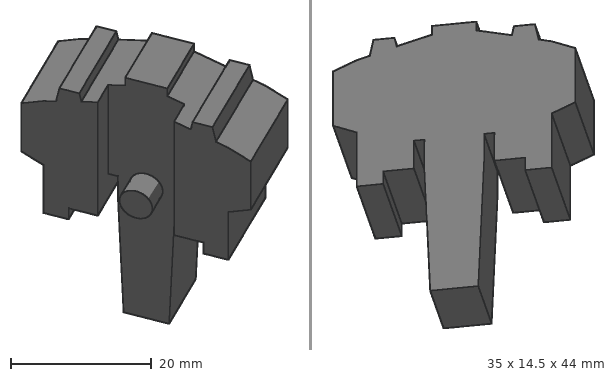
import cadquery as cq

height = 44.0
half_width = 35.0 / 2
depth = 14.5
web_depth = 10.45

tab_half_width = 3.2
crown_z = -1.45
tooth_inner_root = (8.3, -2.8)
tooth_top_inner_x = 8.62
tooth_top_outer_x = 11.65
tooth_top_z = -1.35
tooth_outer_root = (12.2, -3.95)
shoulder_break = (14.1, -4.5)
shoulder_edge_z = -6.0

side_bottom_z = -15.0
leg_outer_x = 14.1
leg_top_z = -16.5
foot_inner_x = 10.25
foot_bottom_z = -25.48
leg_bottom_z = -23.4
channel_half_width = 5.8

web_bottom_z = -18.8
stem_top_half_width = 4.3
stem_bottom_half_width = 3.48
taper_start_z = leg_bottom_z
pin_radius = 2.5
pin_z = -19.5


def extrude_forward(outline, length):
    """Extrude an (X, Z) outline from the back face toward -Y."""
    return cq.Workplane("XZ").polyline(outline).close().extrude(length)


def mirrored_outline(right_half):
    """Complete a right-hand outline with its mirror image about X = 0."""
    return right_half + [(-x, z) for x, z in reversed(right_half)]


head_outline = mirrored_outline([
    (tab_half_width, 0),
    (tab_half_width, crown_z),
    tooth_inner_root,
    (tooth_top_inner_x, tooth_top_z),
    (tooth_top_outer_x, tooth_top_z),
    tooth_outer_root,
    shoulder_break,
    (half_width, shoulder_edge_z),
    (half_width, side_bottom_z),
    (leg_outer_x, leg_top_z),
    (leg_outer_x, foot_bottom_z),
    (foot_inner_x, foot_bottom_z),
    (foot_inner_x, leg_bottom_z),
    (channel_half_width, leg_bottom_z),
    (channel_half_width, web_bottom_z),
])
head = extrude_forward(head_outline, depth)

channel = (
    cq.Workplane("XY")
    .box(2 * channel_half_width, depth - web_depth, height, centered=(True, False, False))
    .translate((0, -depth, -height))
)

stem_outline = mirrored_outline([
    (stem_top_half_width, web_bottom_z),
    (stem_top_half_width, taper_start_z),
    (stem_bottom_half_width, -height),
])
stem = extrude_forward(stem_outline, web_depth)

pin = cq.Workplane("XZ").center(0, pin_z).circle(pin_radius).extrude(depth)

result = head.cut(channel).union(stem).union(pin)